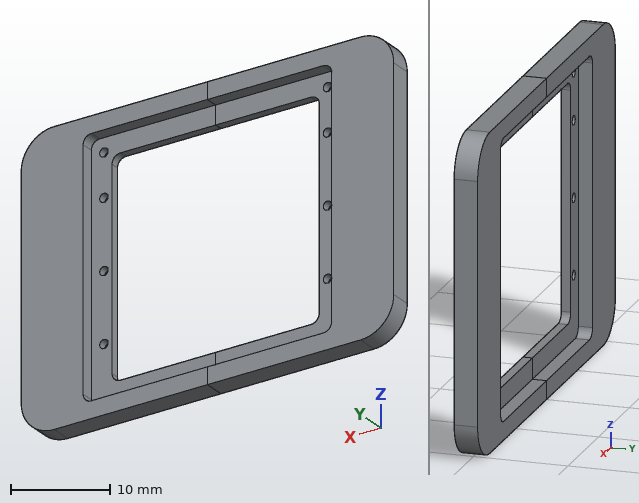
import cadquery as cq

frame_width = 45.0
frame_height = 34.0
thickness = 2.5
corner_radius = 4.0

window_width = 25.0
window_height = 25.5
window_corner_radius = 1.0

lip_thickness = 1.0
recess_width = 30.0
recess_height = 30.0
recess_corner_radius = window_corner_radius

hole_diameter = 1.0
hole_offset_x = 13.5
pitched_hole_count = 3
hole_pitch = 8.2
lowest_hole_z = -8.15
top_hole_z = 13.35
hole_heights = [lowest_hole_z + row * hole_pitch for row in range(pitched_hole_count)] + [top_hole_z]


def rounded_plate(width, height, radius):
    """Plate of the frame thickness with its four corners rounded."""
    return cq.Workplane("XY").box(width, thickness, height).edges("|Y").fillet(radius)


def hole_pins():
    """Cylinders along Y that cut both columns of holes."""
    positions = [(side * hole_offset_x, z) for side in (-1, 1) for z in hole_heights]
    return (
        cq.Workplane("XZ")
        .pushPoints(positions)
        .circle(hole_diameter / 2)
        .extrude(thickness, both=True)
    )


def half_frame(side):
    """Half of the frame on one side of the X = 0 joint: -1 for left, 1 for right."""
    half_width = frame_width / 2
    half_space = cq.Workplane("XY").box(half_width, thickness, frame_height)
    half_space = half_space.translate((side * half_width / 2, 0, 0))
    frame = rounded_plate(frame_width, frame_height, corner_radius)
    window = rounded_plate(window_width, window_height, window_corner_radius)
    recess = rounded_plate(recess_width, recess_height, recess_corner_radius)
    recess = recess.translate((0, lip_thickness, 0))
    return frame.cut(window).cut(recess).cut(hole_pins()).intersect(half_space)


half_frames = [half_frame(side) for side in (-1, 1)]

result = cq.Compound.makeCompound([half.val() for half in half_frames])